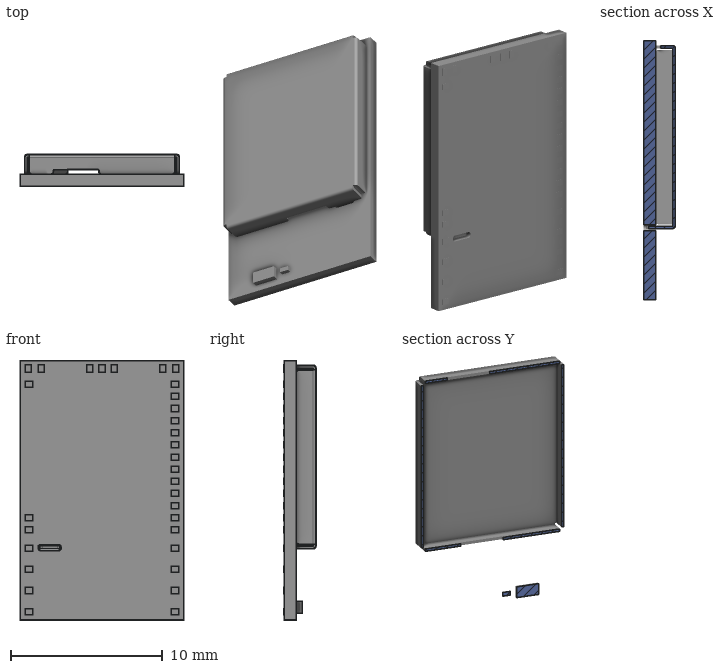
import cadquery as cq

BOARD_WIDTH = 10.8
BOARD_HEIGHT = 17.1
BOARD_THICKNESS = 0.8
BOARD_TOP = BOARD_HEIGHT / 2

PAD_LENGTH = 0.5
PAD_WIDTH = 0.4
PAD_THICKNESS = 0.01
PAD_PITCH = 0.8
SIDE_PAD_INSET = 0.35
TOP_PAD_INSET = 0.25
FIRST_SIDE_PAD_DROP = 1.55
FINE_PAD_COUNT = 13
WIDE_PAD_GAP = 1.2
WIDE_PAD_PITCH = 1.4
WIDE_PAD_COUNT = 4
TOP_PAD_OUTER_X = BOARD_WIDTH / 2 - SIDE_PAD_INSET - PAD_WIDTH / 2
TOP_PAD_SECOND_X = 5 * PAD_PITCH
TOP_PAD_X = [0, PAD_PITCH, -PAD_PITCH]
TOP_PAD_X += [TOP_PAD_SECOND_X, -TOP_PAD_SECOND_X, TOP_PAD_OUTER_X, -TOP_PAD_OUTER_X]

SHIELD_INSET = 0.3
SHIELD_WIDTH = BOARD_WIDTH - 2 * SHIELD_INSET
SHIELD_HEIGHT = 12.1
SHIELD_DEPTH = 1.3
SHEET = 0.2
CORNER_RELIEF = 0.3
WALL_CORNER_RADIUS = 0.15
SHIELD_TOP = BOARD_TOP - SHIELD_INSET
SHIELD_BOTTOM = SHIELD_TOP - SHIELD_HEIGHT
SHIELD_CENTRE_Z = (SHIELD_TOP + SHIELD_BOTTOM) / 2

NOTCH_LENGTH = 3.0
UPPER_NOTCH_HEIGHT = 0.3
LOWER_NOTCH_HEIGHT = 0.4
NOTCH_ROOF_RADIUS = 0.1
UPPER_NOTCH_START_X = -3.2
LOWER_NOTCH_START_X = -2.25

SLOT_LENGTH = 1.5
SLOT_WIDTH = 0.4
SLOT_X = -3.45
SLOT_Z = -3.775
TAB_WIDTH = 1.3
TAB_DEPTH = 0.6

ANTENNA_SIZE = (1.6, 0.4, 0.8)
PASSIVE_SIZE = (0.6, 0.3, 0.3)
CHIP_RISE = 0.85
CHIP_Z = CHIP_RISE - BOARD_HEIGHT / 2
ANTENNA_X = 2.5
PASSIVE_X = 1.0


def block(size, centre_x, start_y, centre_z):
    """Box centred in X and Z, growing towards +Y from start_y."""
    return cq.Workplane().box(*size, centered=(True, False, True)).translate((centre_x, start_y, centre_z))


fine_drops = [FIRST_SIDE_PAD_DROP + i * PAD_PITCH for i in range(FINE_PAD_COUNT)]
first_wide_drop = fine_drops[-1] + WIDE_PAD_GAP
wide_drops = [first_wide_drop + i * WIDE_PAD_PITCH for i in range(WIDE_PAD_COUNT)]
right_drops = fine_drops + wide_drops
left_drops = [fine_drops[0], *fine_drops[-2:], *wide_drops]


def make_board():
    board = block((BOARD_WIDTH, BOARD_THICKNESS, BOARD_HEIGHT), 0, 0, 0)
    slot = (
        cq.Workplane("XZ", origin=(SLOT_X, 0, SLOT_Z))
        .slot2D(SLOT_LENGTH, SLOT_WIDTH)
        .extrude(-BOARD_THICKNESS)
    )
    return board.cut(slot)


def add_pads(board):
    side_pad_x = BOARD_WIDTH / 2 - SIDE_PAD_INSET - PAD_LENGTH / 2
    side_size = (PAD_LENGTH, PAD_THICKNESS, PAD_WIDTH)
    for x, drops in ((-side_pad_x, left_drops), (side_pad_x, right_drops)):
        for drop in drops:
            board = board.union(block(side_size, x, -PAD_THICKNESS, BOARD_TOP - drop))
    top_pad_z = BOARD_TOP - TOP_PAD_INSET - PAD_LENGTH / 2
    for x in TOP_PAD_X:
        board = board.union(block((PAD_WIDTH, PAD_THICKNESS, PAD_LENGTH), x, -PAD_THICKNESS, top_pad_z))
    return board


def make_folded_box():
    """Tray with bent edges, open towards the board and cut away at its corners."""
    outer = block((SHIELD_WIDTH, SHIELD_DEPTH, SHIELD_HEIGHT), 0, BOARD_THICKNESS, SHIELD_CENTRE_Z)
    outer = outer.faces(">Y").edges().fillet(SHEET)
    inner_size = (SHIELD_WIDTH - 2 * SHEET, SHIELD_DEPTH - SHEET, SHIELD_HEIGHT - 2 * SHEET)
    shield = outer.cut(block(inner_size, 0, BOARD_THICKNESS, SHIELD_CENTRE_Z))
    relief_size = (2 * CORNER_RELIEF, SHIELD_DEPTH, 2 * CORNER_RELIEF)
    for x in (-SHIELD_WIDTH / 2, SHIELD_WIDTH / 2):
        for z in (SHIELD_BOTTOM, SHIELD_TOP):
            shield = shield.cut(block(relief_size, x, BOARD_THICKNESS, z))
    return shield


def round_wall_corners(shield):
    """Round the free corners at the foot of all four walls."""
    foot = BOARD_THICKNESS
    end_x = SHIELD_WIDTH / 2 - CORNER_RELIEF
    end_z = SHIELD_HEIGHT / 2 - CORNER_RELIEF
    wall_x = (SHIELD_WIDTH - SHEET) / 2
    wall_z = (SHIELD_HEIGHT - SHEET) / 2
    corners = []
    for sx in (-1, 1):
        for sz in (-1, 1):
            corners.append((sx * end_x, foot, SHIELD_CENTRE_Z + sz * wall_z))
            corners.append((sx * wall_x, foot, SHIELD_CENTRE_Z + sz * end_z))
    for corner in corners:
        shield = shield.edges(cq.selectors.NearestToPointSelector(corner)).fillet(WALL_CORNER_RADIUS)
    return shield


def make_notch(start_x, height, wall_z):
    """Cutter for a wall opening: rounded roof corners, and a foot that flares out on both sides."""
    end_x = start_x + NOTCH_LENGTH
    flare = WALL_CORNER_RADIUS
    roof = NOTCH_ROOF_RADIUS
    foot_y = BOARD_THICKNESS
    roof_y = foot_y + height
    return (
        cq.Workplane("XY", origin=(0, 0, wall_z - SHEET))
        .moveTo(start_x - flare, foot_y)
        .radiusArc((start_x, foot_y + flare), -flare)
        .lineTo(start_x, roof_y - roof)
        .radiusArc((start_x + roof, roof_y), roof)
        .lineTo(end_x - roof, roof_y)
        .radiusArc((end_x, roof_y - roof), roof)
        .lineTo(end_x, foot_y + flare)
        .radiusArc((end_x + flare, foot_y), -flare)
        .close()
        .extrude(2 * SHEET)
    )


def make_tab():
    """Continuation of the lower wall into the board slot, with rounded end corners."""
    tab_size = (TAB_WIDTH, TAB_DEPTH, SHEET)
    tab = block(tab_size, SLOT_X, BOARD_THICKNESS - TAB_DEPTH, SHIELD_BOTTOM + SHEET / 2)
    return tab.faces("<Y").edges("|Z").fillet(WALL_CORNER_RADIUS)


def make_shield():
    shield = round_wall_corners(make_folded_box())
    shield = shield.cut(make_notch(UPPER_NOTCH_START_X, UPPER_NOTCH_HEIGHT, SHIELD_TOP - SHEET / 2))
    shield = shield.cut(make_notch(LOWER_NOTCH_START_X, LOWER_NOTCH_HEIGHT, SHIELD_BOTTOM + SHEET / 2))
    return shield.union(make_tab())


antenna = block(ANTENNA_SIZE, ANTENNA_X, BOARD_THICKNESS, CHIP_Z)
passive = block(PASSIVE_SIZE, PASSIVE_X, BOARD_THICKNESS, CHIP_Z)

result = add_pads(make_board()).union(make_shield()).union(antenna).union(passive)